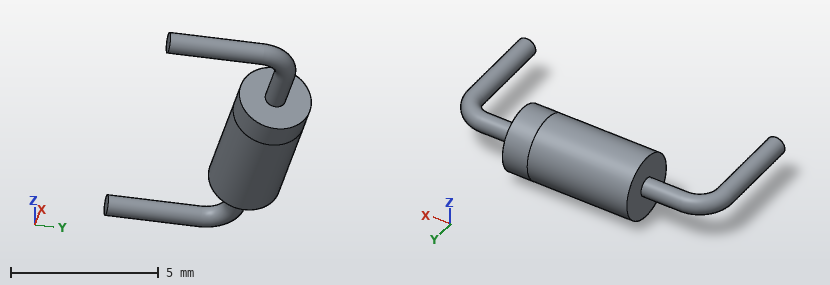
import cadquery as cq

body_diameter = 2.5
body_length = 5.0
band_length = 1.0
sleeve_length = body_length - band_length

wire_diameter = 0.71
lead_pitch = 10.0
bend_radius = 1.0
leg_reach = 4.25

half_pitch = lead_pitch / 2
bend_start_x = half_pitch - bend_radius


def bored_cylinder(start_x, length):
    """Cylinder along X with a through bore that fits the wire."""
    return (
        cq.Workplane("YZ", origin=(start_x, 0, 0))
        .circle(body_diameter / 2)
        .circle(wire_diameter / 2)
        .extrude(length)
    )


def bent_wire():
    """One continuous round wire: leg, bend, straight run through the body, bend, leg."""
    path = (
        cq.Workplane("XY")
        .moveTo(-half_pitch, -leg_reach)
        .lineTo(-half_pitch, -bend_radius)
        .tangentArcPoint((-bend_start_x, 0), relative=False)
        .lineTo(bend_start_x, 0)
        .tangentArcPoint((half_pitch, -bend_radius), relative=False)
        .lineTo(half_pitch, -leg_reach)
    )
    return (
        cq.Workplane("XZ", origin=(-half_pitch, -leg_reach, 0))
        .circle(wire_diameter / 2)
        .sweep(path)
    )


sleeve_start_x = -body_length / 2
band_start_x = sleeve_start_x + sleeve_length

sleeve = bored_cylinder(sleeve_start_x, sleeve_length)
band = bored_cylinder(band_start_x, band_length)
wire = bent_wire()

result = cq.Compound.makeCompound([sleeve.val(), band.val(), wire.val()])